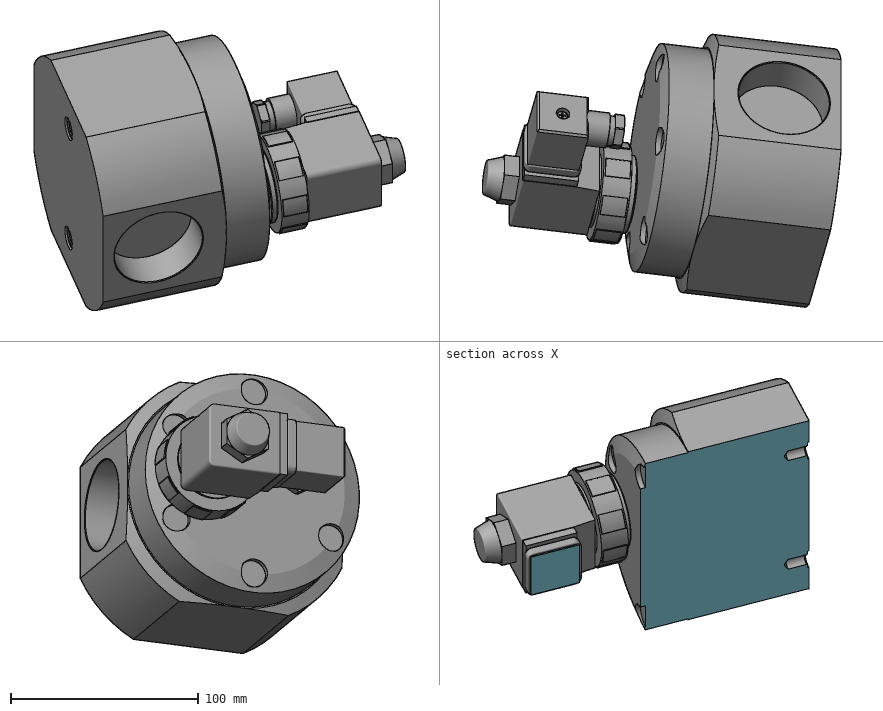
import cadquery as cq
import math


body_width = 124.0
body_diameter = 139.0
body_length = 69.0
body_bevel_length = 2.5
body_bevel_end_diameter = 124.6

port_y = 31.0
port_mouth_diameter = 50.2
port_diameter = 49.3
port_depth = 20.0
port_chamfer = (port_mouth_diameter - port_diameter) / 2

front_hole_z = 40.0
front_hole_mouth_diameter = 13.0
front_hole_step_diameter = 11.2
front_hole_core_diameter = 6.8
front_hole_chamfer = (front_hole_mouth_diameter - front_hole_step_diameter) / 2
front_hole_core_chamfer = 0.6
front_hole_core_depth = 12.0
drill_tip_angle = 118.0

lid_diameter = 123.0
lid_top_diameter = 104.0
lid_top_y = 96.3
lid_rim_y = 93.3
seat_count = 6
seat_diameter = 15.0
seat_circle_diameter = 102.4
seat_floor_y = lid_rim_y

solenoid_x = 32.0
stem_diameter = 34.5
collar_diameter = 42.0
collar_start_y = 97.2
collar_end_y = 100.7
collar_chamfer = 0.5
coil_seat_diameter = 40.0

nut_start_y = 101.0
nut_end_y = 116.3
nut_diameter = 53.5
pad_diameter = 54.8
pad_count = 8
pad_end_gap = 0.9
pad_angle = 360.0 / (2 * pad_count)

coil_start_y = 117.6
coil_end_y = 159.6
coil_left_x = 10.3
coil_right_x = 50.6
coil_height = 35.4
coil_taper_start_y = 130.0
coil_taper = 1.2
coil_corner_radius = 3.3
coil_end_fillet = 1.0

hex_across_flats = 24.0
hex_end_y = 167.6
cone_tip_diameter = 18.6
cone_end_y = 175.8
cone_tip_fillet = 0.6

plug_y = 144.7
neck_left_x = 5.8
neck_length_y = 29.2
neck_height = 34.6
flange_left_x = 0.7
flange_length_y = 30.6
flange_height = 30.4
flange_corner_radius = 3.7
flange_edge_fillet = 0.5
housing_left_x = -27.8
housing_length_y = 28.0
housing_height = 28.2
housing_end_chamfer = 1.1
housing_side_fillet = 0.5

screw_recess_diameter = 7.2
screw_recess_depth = 3.0
screw_head_diameter = 5.4
screw_head_height = 1.5
cross_length = 3.5
cross_width = 0.6
cross_depth = 0.8

gland_diameter = 18.9
gland_x = -18.25
gland_end_y = 119.0
gland_neck_diameter = 16.0
gland_nut_start_y = 111.0
gland_nut_end_y = 115.9
gland_nut_across_flats = 17.0
gland_nut_corner_diameter = 19.2
gland_nut_chamfer = 0.5

OVERLAP = 0.5


def section_at(x, y, z=0.0):
    """Workplane across the Y axis; local x is X and local y is Z."""
    return cq.Workplane("XZ", origin=(x, y, z))


def cylinder_y(diameter, x, start_y, end_y, z=0.0):
    return section_at(x, start_y, z).circle(diameter / 2).extrude(start_y - end_y)


def hexagon_y(across_flats, x, start_y, end_y):
    """Hexagonal prism along Y with two flats facing +X and -X."""
    across_corners = across_flats / math.cos(math.radians(30))
    prism = section_at(x, start_y).polygon(6, across_corners).extrude(start_y - end_y)
    return prism.rotate((x, 0, 0), (x, 1, 0), 30)


def turned_y(profile):
    """Revolve (radius, y) points around the Y axis."""
    return cq.Workplane("XY").polyline(profile).close().revolve(360, (0, 0, 0), (0, 1, 0))


def block_x(left_x, right_x, length_y, height):
    """Rectangular block along X, centred on the plug axis."""
    size_x = right_x - left_x
    return cq.Workplane("XY").box(size_x, length_y, height).translate((left_x + size_x / 2, plug_y, 0))


def make_body():
    radius = body_diameter / 2
    block = turned_y([
        (0, 0),
        (radius, 0),
        (radius, body_length - body_bevel_length),
        (body_bevel_end_diameter / 2, body_length),
        (0, body_length),
    ])
    flats = section_at(0, 0).rect(body_width, body_width).extrude(-body_length)
    return block.intersect(flats)


def make_port():
    """Blind bore with a chamfered mouth, entering from the -X flat."""
    left_flat = cq.Workplane("YZ", origin=(-body_width / 2, port_y, 0))
    bore = left_flat.circle(port_diameter / 2).extrude(port_depth)
    mouth = left_flat.circle(port_mouth_diameter / 2).extrude(port_chamfer, taper=45)
    return bore.union(mouth)


def make_front_hole():
    core_radius = front_hole_core_diameter / 2
    step_radius = front_hole_step_diameter / 2
    tip_length = core_radius / math.tan(math.radians(drill_tip_angle / 2))
    return turned_y([
        (0, 0),
        (front_hole_mouth_diameter / 2, 0),
        (step_radius, front_hole_chamfer),
        (core_radius + front_hole_core_chamfer, front_hole_chamfer),
        (core_radius, front_hole_chamfer + front_hole_core_chamfer),
        (core_radius, front_hole_core_depth),
        (0, front_hole_core_depth + tip_length),
    ])


def make_lid():
    radius = lid_diameter / 2
    lid = turned_y([
        (0, body_length - OVERLAP),
        (radius, body_length - OVERLAP),
        (radius, lid_rim_y),
        (lid_top_diameter / 2, lid_top_y),
        (0, lid_top_y),
    ])
    for index in range(seat_count):
        angle = math.radians(30 + index * 360 / seat_count)
        seat_x = seat_circle_diameter / 2 * math.cos(angle)
        seat_z = seat_circle_diameter / 2 * math.sin(angle)
        lid = lid.cut(cylinder_y(seat_diameter, seat_x, seat_floor_y, lid_top_y, seat_z))
    return lid


def make_ring_nut():
    nut = cylinder_y(nut_diameter, solenoid_x, nut_start_y, nut_end_y)
    pad_start_y = nut_start_y + pad_end_gap
    pad_end_y = nut_end_y - pad_end_gap
    rim = cylinder_y(pad_diameter, solenoid_x, pad_start_y, pad_end_y)
    reach = pad_diameter
    sector_half_width = reach * math.tan(math.radians(pad_angle / 2))
    sector = (
        section_at(solenoid_x, pad_start_y)
        .polyline([(0, 0), (reach, -sector_half_width), (reach, sector_half_width)])
        .close()
        .extrude(pad_start_y - pad_end_y)
    )
    pad = rim.intersect(sector)
    for index in range(pad_count):
        angle = (index + 0.25) * 360 / pad_count
        nut = nut.union(pad.rotate((solenoid_x, 0, 0), (solenoid_x, 1, 0), -angle))
    return nut


def make_stem():
    stem = cylinder_y(stem_diameter, solenoid_x, lid_top_y - OVERLAP, coil_start_y)
    collar = cylinder_y(collar_diameter, solenoid_x, collar_start_y, collar_end_y).edges().chamfer(collar_chamfer)
    coil_seat = cylinder_y(coil_seat_diameter, solenoid_x, collar_end_y - OVERLAP, coil_start_y)
    return stem.union(collar).union(coil_seat)


def make_coil():
    coil = (
        cq.Workplane("XY", origin=(0, 0, -coil_height / 2))
        .polyline([
            (coil_left_x + coil_taper, coil_start_y),
            (coil_right_x, coil_start_y),
            (coil_right_x, coil_end_y),
            (coil_left_x, coil_end_y),
            (coil_left_x, coil_taper_start_y),
        ])
        .close()
        .extrude(coil_height)
    )
    coil = coil.edges("|Y and >X").fillet(coil_corner_radius)
    return coil.faces(">Y").edges("not <X").fillet(coil_end_fillet)


def make_coil_end():
    hexagon = hexagon_y(hex_across_flats, solenoid_x, coil_end_y - OVERLAP, hex_end_y)
    cone = (
        section_at(solenoid_x, hex_end_y)
        .circle(hex_across_flats / 2)
        .workplane(offset=hex_end_y - cone_end_y)
        .circle(cone_tip_diameter / 2)
        .loft()
        .faces(">Y")
        .edges()
        .fillet(cone_tip_fillet)
    )
    return hexagon.union(cone)


def make_plug_screw_recess():
    """Ring-shaped recess around a screw head that carries a cross slot."""
    face = cq.Workplane("YZ", origin=(housing_left_x, plug_y, 0))
    recess = face.circle(screw_recess_diameter / 2).extrude(screw_recess_depth)
    head_x = screw_recess_depth - screw_head_height
    head = face.workplane(offset=head_x).circle(screw_head_diameter / 2).extrude(screw_head_height)
    slot_plane = face.workplane(offset=head_x)
    slot_y = slot_plane.rect(cross_length, cross_width).extrude(cross_depth)
    slot_z = slot_plane.rect(cross_width, cross_length).extrude(cross_depth)
    return recess.cut(head).union(slot_y).union(slot_z)


def make_plug():
    neck = block_x(neck_left_x, coil_left_x + OVERLAP, neck_length_y, neck_height)
    flange = block_x(flange_left_x, neck_left_x, flange_length_y, flange_height)
    flange = flange.edges("|X").fillet(flange_corner_radius)
    flange = flange.faces("<X or >X").edges().fillet(flange_edge_fillet)
    housing = block_x(housing_left_x, flange_left_x + OVERLAP, housing_length_y, housing_height)
    housing = housing.faces("<X").edges().chamfer(housing_end_chamfer)
    housing = housing.edges("|X").fillet(housing_side_fillet)
    housing = housing.cut(make_plug_screw_recess())
    return neck.union(flange).union(housing)


def make_gland():
    housing_bottom_y = plug_y - housing_length_y / 2
    sleeve = cylinder_y(gland_diameter, gland_x, gland_end_y, housing_bottom_y + 2 * housing_end_chamfer)
    neck = cylinder_y(gland_neck_diameter, gland_x, gland_nut_start_y, gland_end_y + OVERLAP)
    nut = hexagon_y(gland_nut_across_flats, gland_x, gland_nut_start_y, gland_nut_end_y)
    corner_limit = cylinder_y(gland_nut_corner_diameter, gland_x, gland_nut_start_y, gland_nut_end_y)
    nut = nut.intersect(corner_limit.faces("<Y").edges().chamfer(gland_nut_chamfer))
    return sleeve.union(neck).union(nut)


result = make_body()
port = make_port()
result = result.cut(port).cut(port.mirror("YZ"))
front_hole = make_front_hole()
for hole_z in (-front_hole_z, front_hole_z):
    result = result.cut(front_hole.translate((0, 0, hole_z)))

solenoid_parts = (make_lid(), make_stem(), make_ring_nut(), make_coil(), make_coil_end(), make_plug(), make_gland())
for piece in solenoid_parts:
    result = result.union(piece)